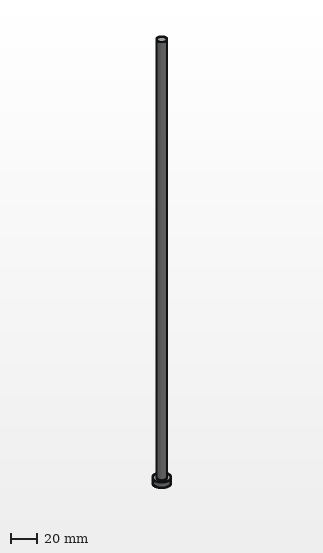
import cadquery as cq

total_length = 400.0
head_diameter = 14.0
head_height = 5.0
shaft_diameter = 8.0

head = cq.Workplane("XY").circle(head_diameter / 2).extrude(head_height)
shaft = cq.Workplane("XY").circle(shaft_diameter / 2).extrude(total_length)

result = head.union(shaft)